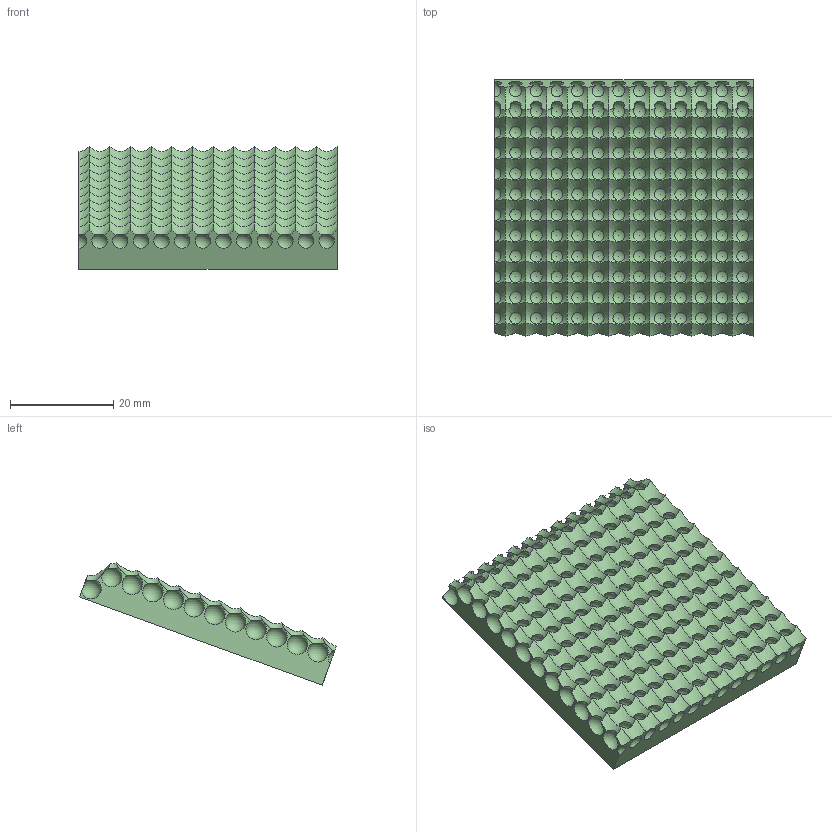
import cadquery as cq
import math

plate_width = 50.0
plate_length = 50.0
plate_thickness = 10.0
tilt = 20.0

pitch = 4.0
first_row_y = -3.22
first_row_z = 5.02
row_count = 13
last_row_z = 18.74

ball_clearance = 0.02
neck_radius = 1.14
flare_angle = 45.0
mouth_radius = 2 * pitch

half_pitch = pitch / 2
column_count = int(plate_width // pitch) + 1
row_step_z = pitch * math.tan(math.radians(tilt))
ball_radius = (pitch - ball_clearance) / 2
neck_height = math.sqrt(ball_radius**2 - neck_radius**2)
mouth_height = neck_height + (mouth_radius - neck_radius) * math.tan(math.radians(flare_angle))


def make_strip(left, right):
    """Full-length strip of the plain tilted plate between two X positions."""
    strip = cq.Workplane("XY").box(right - left, plate_length, plate_thickness, centered=False)
    return strip.translate((left, 0, 0)).rotate((0, 0, 0), (1, 0, 0), tilt)


def make_socket():
    """Cutter with a vertical axis and the ball centre at the origin."""
    profile = (
        cq.Workplane("XZ")
        .moveTo(0, -ball_radius)
        .threePointArc((ball_radius, 0), (neck_radius, neck_height))
        .lineTo(mouth_radius, mouth_height)
        .lineTo(0, mouth_height)
        .close()
    )
    return profile.revolve(360, (0, 0, 0), (0, 1, 0))


def ball_centre(row):
    """Ball centre of a row; the last row drops to sit below the sloping end face."""
    is_last = row == row_count - 1
    z = last_row_z if is_last else first_row_z + row * row_step_z
    return (0, first_row_y + row * pitch, z)


def make_column(left, right):
    """Strip around X = 0 with one column of sockets cut into it."""
    column = make_strip(left, right)
    socket = make_socket()
    for row in range(row_count):
        column = column.cut(socket.translate(ball_centre(row)))
    return column


result = make_column(0, half_pitch)
full_column = make_column(-half_pitch, half_pitch)
for index in range(1, column_count):
    result = result.union(full_column.translate((index * pitch, 0, 0)))
result = result.clean()